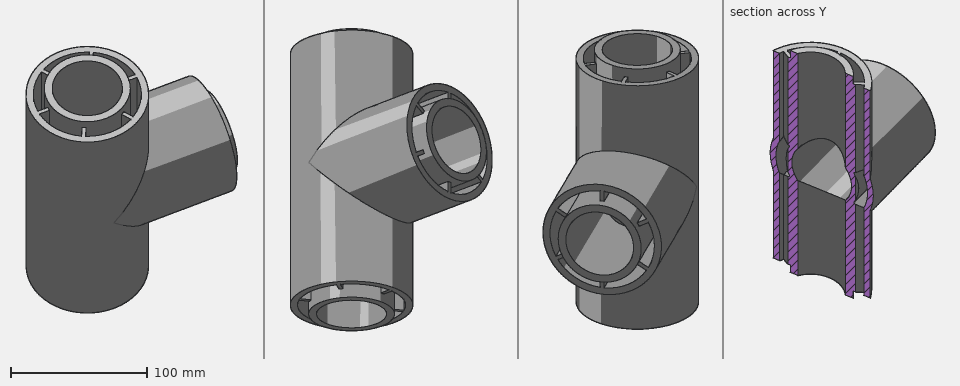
import cadquery as cq
import math

outer_diameter = 90.0
outer_wall = 5.4
inner_diameter = 63.0
inner_wall = 5.8
outer_half_run = 100.0
inner_protrusion = 7.0
rib_thickness = 3.0
rib_count = 6
first_rib_angle = 30.0

outer_bore = outer_diameter - 2 * outer_wall
inner_bore = inner_diameter - 2 * inner_wall
inner_half_run = outer_half_run + inner_protrusion
rib_inner_radius = (inner_diameter - inner_wall) / 2
rib_outer_radius = (outer_diameter - outer_wall) / 2
rib_length = rib_outer_radius - rib_inner_radius
rib_mid_radius = (rib_outer_radius + rib_inner_radius) / 2


def tube(outside, bore, half_length):
    """Tube along Z, centred on the origin."""
    ring = cq.Workplane("XY").circle(outside / 2).circle(bore / 2)
    return ring.extrude(half_length, both=True)


def rib(angle):
    """Flat radial rib, with its ends buried in the walls of both pipes."""
    plate = cq.Workplane("XY").box(rib_length, rib_thickness, 2 * outer_half_run)
    plate = plate.translate((rib_mid_radius, 0, 0))
    return plate.rotate((0, 0, 0), (0, 0, 1), angle)


def double_pipe():
    """Straight pipe-in-pipe along Z, joined by radial ribs."""
    pipe = tube(outer_diameter, outer_bore, outer_half_run)
    pipe = pipe.union(tube(inner_diameter, inner_bore, inner_half_run))
    for index in range(rib_count):
        pipe = pipe.union(rib(first_rib_angle + index * 360 / rib_count))
    return pipe


def mitre_wedge():
    """Wedge on the +Y side between the two 45 degree mitre planes."""
    reach = 2 * inner_half_run
    profile = cq.Workplane("YZ").polyline([(0, 0), (reach, reach), (reach, -reach)]).close()
    return profile.extrude(outer_diameter, both=True)


def side_channel(side):
    """Clear passage between the two ribs that flank the X axis; side is +1 or -1."""
    half_angle = math.radians(first_rib_angle)
    apex = rib_thickness / 2 / math.sin(half_angle)
    reach = outer_diameter
    far_x = apex + reach
    far_y = reach * math.tan(half_angle)
    corners = [(side * apex, 0), (side * far_x, far_y), (side * far_x, -far_y)]
    sector = cq.Workplane("XY").polyline(corners).close().extrude(outer_half_run, both=True)
    return tube(outer_bore, inner_diameter, outer_half_run).intersect(sector)


straight = double_pipe()
wedge = mitre_wedge()
run = straight.cut(wedge)
branch = straight.rotate((0, 0, 0), (1, 0, 0), -90).intersect(wedge)

for side in (1, -1):
    branch = branch.cut(side_channel(side))

result = run.union(branch)